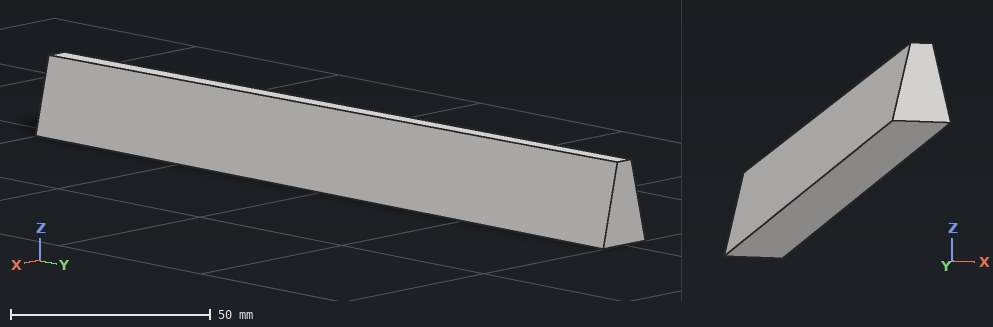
import cadquery as cq

length = 200.0
base_width = 15.0
back_height = 21.5

back_top_width = 5.0
front_height = 20.0


def tapered_bar():
    """Full-height bar with a symmetric trapezoid section, centred on X and Y."""
    section = [
        (-base_width / 2, 0),
        (base_width / 2, 0),
        (back_top_width / 2, back_height),
        (-back_top_width / 2, back_height),
    ]
    back_end = cq.Workplane("XZ", origin=(0, length / 2, 0))
    return back_end.polyline(section).close().extrude(length)


def top_wedge():
    """Wedge between the sloped top and the full height, as wide as the base."""
    profile = [
        (-length / 2, front_height),
        (length / 2, back_height),
        (-length / 2, back_height),
    ]
    return cq.Workplane("YZ").polyline(profile).close().extrude(base_width / 2, both=True)


result = tapered_bar().cut(top_wedge())